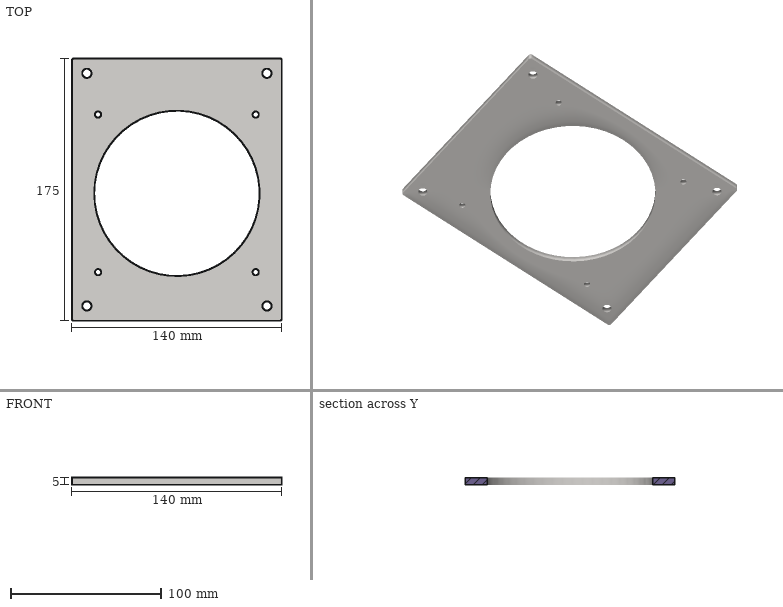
import cadquery as cq

width = 140.0
length = 175.0
thickness = 5.0
corner_radius = 1.5

opening_diameter = 110.0
opening_offset_y = -2.5
inner_hole_spacing = 105.0
inner_hole_diameter = 4.0

edge_distance = 10.0
mounting_hole_diameter = 6.0


def drill_rectangle(body, center_y, spacing_x, spacing_y, diameter):
    """Drill four through holes at the corners of a rectangle centred on X = 0."""
    return (
        body.faces(">Z")
        .workplane(origin=(0, center_y, 0))
        .rect(spacing_x, spacing_y, forConstruction=True)
        .vertices()
        .hole(diameter)
    )


plate = cq.Workplane("XY").box(width, length, thickness, centered=(True, True, False))
plate = plate.edges("|Z").fillet(corner_radius)

plate = plate.faces(">Z").workplane(origin=(0, opening_offset_y, 0)).hole(opening_diameter)

plate = drill_rectangle(
    plate, opening_offset_y, inner_hole_spacing, inner_hole_spacing, inner_hole_diameter
)

plate = drill_rectangle(
    plate, 0, width - 2 * edge_distance, length - 2 * edge_distance, mounting_hole_diameter
)

result = plate